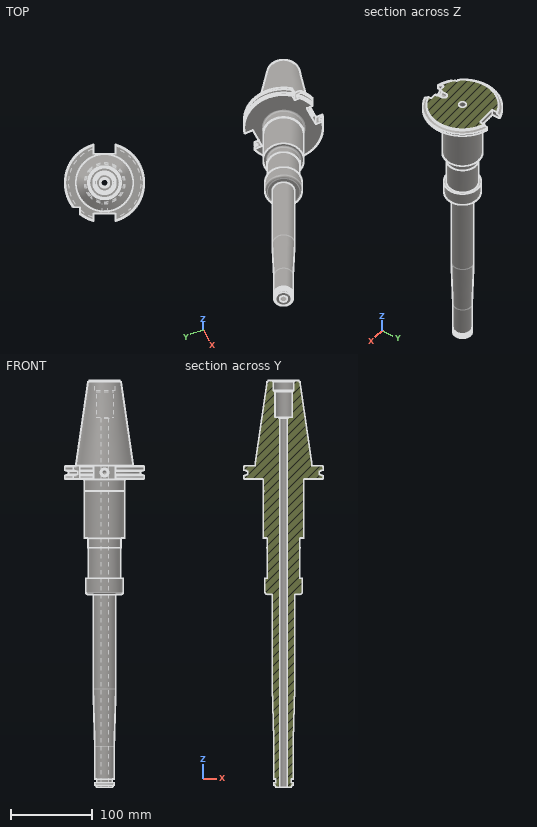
import cadquery as cq
import math

GAUGE_DIAMETER = 69.85
TAPER_RATIO = 7 / 24
TAPER_TOP = 101.75
TAPER_BOTTOM = -0.8
TAPER_END_CHAMFER = 2.0

FLANGE_DIAMETER = 97.5
FLANGE_TOP = -2.6
FLANGE_BOTTOM = -19.1
FLANGE_CHAMFER = 1.0
GROOVE_CENTER = -11.3
GROOVE_MOUTH_WIDTH = 6.6
GROOVE_FLOOR_WIDTH = 3.4
GROOVE_DEPTH = 4.5

SLOT_WIDTH = 25.7
SLOT_EDGE_CHAMFER = 0.8
FRONT_SLOT_FLOOR = 37.7
REAR_SLOT_FLOOR = 35.5
NOTCH_DISTANCE = 30.0

SLOT_HOLE_DIAMETERS = (10.0, 9.0, 7.0)
SLOT_HOLE_CHAMFER = 0.5
SLOT_HOLE_STEP_DEPTH = 4.0
SLOT_HOLE_DEPTH = 12.0
DRILL_POINT_ANGLE = 118.0

BODY_DIAMETER = 50.0
BODY_BOTTOM = -91.0
RING_GROOVE_LEVEL = -33.5
RING_GROOVE_DEPTH = 0.5
NECK_UPPER_DIAMETER = 40.5
NECK_STEP = -103.0
NECK_LOWER_DIAMETER = 40.0
NECK_BOTTOM = -140.0
SHOULDER_FILLET = 1.0
COLLAR_DIAMETER = 46.0
COLLAR_BOTTOM = -160.0
COLLAR_FILLET = 3.0
BAR_DIAMETER = 28.0
BAR_BOTTOM = -275.0
TIP_DIAMETER = 24.0
TIP_CONE_BOTTOM = -345.0
TIP_BOTTOM = -385.5
SHANK_END = -395.35

STUB_DIAMETER = 19.5
RING_DIAMETER = 24.0
RING_TOP = -389.8
RING_HEIGHT = 3.0
END_CONE_DIAMETER = 22.0

BORE_MOUTH_DIAMETER = 28.0
BORE_DIAMETER = 25.0
BORE_DEPTH = 12.0
THREAD_DIAMETER = 20.75
THREAD_DEPTH = 45.0
THROUGH_MOUTH_DIAMETER = 12.0
THROUGH_DIAMETER = 9.0


def revolve_about_z(profile):
    return profile.close().revolve(360, (0, 0, 0), (0, 1, 0))


def taper_radius(level):
    return (GAUGE_DIAMETER - level * TAPER_RATIO) / 2


def taper():
    chamfer_level = TAPER_TOP - TAPER_END_CHAMFER
    return revolve_about_z(
        cq.Workplane("XZ")
        .moveTo(0, TAPER_TOP)
        .lineTo(taper_radius(chamfer_level) - TAPER_END_CHAMFER, TAPER_TOP)
        .lineTo(taper_radius(chamfer_level), chamfer_level)
        .lineTo(taper_radius(TAPER_BOTTOM), TAPER_BOTTOM)
        .lineTo(taper_radius(TAPER_BOTTOM), FLANGE_BOTTOM)
        .lineTo(0, FLANGE_BOTTOM)
    )


def gripper_groove():
    rim = FLANGE_DIAMETER / 2
    floor = rim - GROOVE_DEPTH
    return revolve_about_z(
        cq.Workplane("XZ")
        .moveTo(rim, GROOVE_CENTER + GROOVE_MOUTH_WIDTH / 2)
        .lineTo(floor, GROOVE_CENTER + GROOVE_FLOOR_WIDTH / 2)
        .lineTo(floor, GROOVE_CENTER - GROOVE_FLOOR_WIDTH / 2)
        .lineTo(rim, GROOVE_CENTER - GROOVE_MOUTH_WIDTH / 2)
    )


def drive_slot(floor_distance, side):
    """Slot on the rear (side = 1) or front (side = -1), chamfered at its top and rim edges."""
    half_width = SLOT_WIDTH / 2
    half_mouth = half_width + SLOT_EDGE_CHAMFER
    rim = FLANGE_DIAMETER / 2
    flare_end = math.sqrt(rim**2 - half_mouth**2)
    flare_start = flare_end - SLOT_EDGE_CHAMFER
    channel = (
        cq.Workplane("XZ", origin=(0, side * floor_distance, 0))
        .moveTo(-half_width, FLANGE_BOTTOM)
        .lineTo(half_width, FLANGE_BOTTOM)
        .lineTo(half_width, FLANGE_TOP - SLOT_EDGE_CHAMFER)
        .lineTo(half_mouth, FLANGE_TOP)
        .lineTo(-half_mouth, FLANGE_TOP)
        .lineTo(-half_width, FLANGE_TOP - SLOT_EDGE_CHAMFER)
        .close()
        .extrude(-side * rim)
    )
    flare_width = half_width + rim - flare_start
    flare = (
        cq.Workplane("XY", origin=(0, 0, FLANGE_BOTTOM))
        .moveTo(-half_width, side * flare_start)
        .lineTo(half_width, side * flare_start)
        .lineTo(flare_width, side * rim)
        .lineTo(-flare_width, side * rim)
        .close()
        .extrude(FLANGE_TOP - FLANGE_BOTTOM)
    )
    return channel.union(flare)


def orientation_notch():
    size = FLANGE_DIAMETER / 2
    return (
        cq.Workplane("XY")
        .box(size, size, FLANGE_TOP - FLANGE_BOTTOM, centered=False)
        .translate((-NOTCH_DISTANCE - size, -NOTCH_DISTANCE - size, FLANGE_BOTTOM))
    )


def flange():
    disc = (
        cq.Workplane("XY", origin=(0, 0, FLANGE_BOTTOM))
        .circle(FLANGE_DIAMETER / 2)
        .extrude(FLANGE_TOP - FLANGE_BOTTOM)
        .edges()
        .chamfer(FLANGE_CHAMFER)
    )
    return (
        disc.cut(gripper_groove())
        .cut(drive_slot(FRONT_SLOT_FLOOR, -1))
        .cut(drive_slot(REAR_SLOT_FLOOR, 1))
        .cut(orientation_notch())
    )


def shank():
    body = BODY_DIAMETER / 2
    neck_upper = NECK_UPPER_DIAMETER / 2
    neck_lower = NECK_LOWER_DIAMETER / 2
    collar = COLLAR_DIAMETER / 2
    bar = BAR_DIAMETER / 2
    tip = TIP_DIAMETER / 2
    stub = STUB_DIAMETER / 2
    ring = RING_DIAMETER / 2
    fillet = SHOULDER_FILLET
    return revolve_about_z(
        cq.Workplane("XZ")
        .moveTo(0, FLANGE_BOTTOM)
        .lineTo(body + fillet, FLANGE_BOTTOM)
        .radiusArc((body, FLANGE_BOTTOM - fillet), -fillet)
        .lineTo(body, RING_GROOVE_LEVEL + RING_GROOVE_DEPTH)
        .lineTo(body - RING_GROOVE_DEPTH, RING_GROOVE_LEVEL)
        .lineTo(body, RING_GROOVE_LEVEL - RING_GROOVE_DEPTH)
        .lineTo(body, BODY_BOTTOM)
        .lineTo(neck_upper + fillet, BODY_BOTTOM)
        .radiusArc((neck_upper, BODY_BOTTOM - fillet), -fillet)
        .lineTo(neck_upper, NECK_STEP)
        .lineTo(neck_lower, NECK_STEP)
        .lineTo(neck_lower, NECK_BOTTOM)
        .lineTo(collar, NECK_BOTTOM)
        .lineTo(collar, COLLAR_BOTTOM + COLLAR_FILLET)
        .radiusArc((collar - COLLAR_FILLET, COLLAR_BOTTOM), COLLAR_FILLET)
        .lineTo(bar, COLLAR_BOTTOM)
        .lineTo(bar, BAR_BOTTOM)
        .lineTo(tip, TIP_CONE_BOTTOM)
        .lineTo(tip, TIP_BOTTOM)
        .lineTo(stub, TIP_BOTTOM)
        .lineTo(stub, RING_TOP)
        .lineTo(ring, RING_TOP)
        .lineTo(ring, RING_TOP - RING_HEIGHT)
        .lineTo(END_CONE_DIAMETER / 2, RING_TOP - RING_HEIGHT)
        .lineTo(stub, SHANK_END)
        .lineTo(0, SHANK_END)
    )


def axial_bore():
    mouth = BORE_MOUTH_DIAMETER / 2
    bore = BORE_DIAMETER / 2
    thread = THREAD_DIAMETER / 2
    through_mouth = THROUGH_MOUTH_DIAMETER / 2
    through = THROUGH_DIAMETER / 2
    bore_floor = TAPER_TOP - BORE_DEPTH
    thread_floor = TAPER_TOP - THREAD_DEPTH
    return revolve_about_z(
        cq.Workplane("XZ")
        .moveTo(0, TAPER_TOP)
        .lineTo(mouth, TAPER_TOP)
        .lineTo(bore, TAPER_TOP - (mouth - bore))
        .lineTo(bore, bore_floor)
        .lineTo(thread, bore_floor - (bore - thread))
        .lineTo(thread, thread_floor)
        .lineTo(through_mouth, thread_floor)
        .lineTo(through, thread_floor - (through_mouth - through))
        .lineTo(through, SHANK_END)
        .lineTo(0, SHANK_END)
    )


def slot_hole():
    mouth, outer, inner = (diameter / 2 for diameter in SLOT_HOLE_DIAMETERS)
    point = inner / math.tan(math.radians(DRILL_POINT_ANGLE / 2))
    start = -FRONT_SLOT_FLOOR
    return (
        cq.Workplane("XY", origin=(0, 0, (FLANGE_TOP + FLANGE_BOTTOM) / 2))
        .moveTo(0, start)
        .lineTo(mouth, start)
        .lineTo(outer, start + SLOT_HOLE_CHAMFER)
        .lineTo(outer, start + SLOT_HOLE_STEP_DEPTH)
        .lineTo(inner, start + SLOT_HOLE_STEP_DEPTH)
        .lineTo(inner, start + SLOT_HOLE_DEPTH)
        .lineTo(0, start + SLOT_HOLE_DEPTH + point)
        .close()
        .revolve(360, (0, 0, 0), (0, 1, 0))
    )


result = taper().union(flange()).union(shank()).cut(axial_bore()).cut(slot_hole())